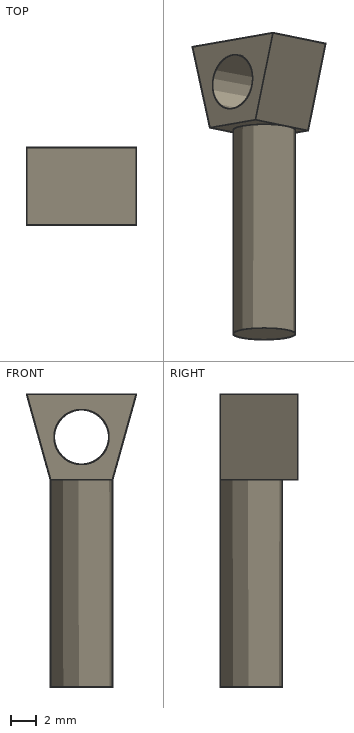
import cadquery as cq

head_top_width = 8.47
head_bottom_width = 4.8
head_height = 6.6
head_depth = 6.0

shank_diameter = 4.8
shank_length = 16.0

hole_diameter = 4.2

front_y = -shank_diameter / 2
back_y = front_y + head_depth


def make_head():
    """Trapezoid in XZ, extruded from the front face to the back face."""
    return (
        cq.Workplane("XZ", origin=(0, back_y, 0))
        .moveTo(-head_bottom_width / 2, 0)
        .lineTo(head_bottom_width / 2, 0)
        .lineTo(head_top_width / 2, head_height)
        .lineTo(-head_top_width / 2, head_height)
        .close()
        .extrude(head_depth)
    )


def make_shank():
    """Cylinder hanging down from the underside of the head."""
    return cq.Workplane("XY").circle(shank_diameter / 2).extrude(-shank_length)


def make_cross_hole():
    """Cylinder along Y, centred in the height of the head."""
    return (
        cq.Workplane("XZ", origin=(0, back_y, head_height / 2))
        .circle(hole_diameter / 2)
        .extrude(head_depth)
    )


result = make_head().union(make_shank()).cut(make_cross_hole())